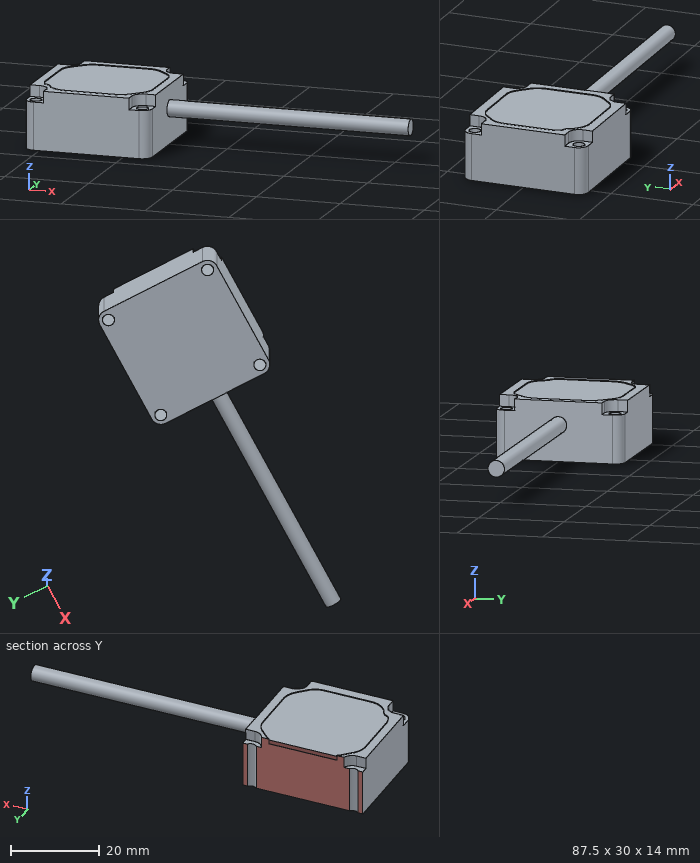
import cadquery as cq
import math

HOUSING_SIDE = 30.0
HOUSING_HEIGHT = 14.0
CORNER_RADIUS = 2.4

HOLE_SPACING = 25.4
HOLE_DIAMETER = 2.7
PAD_RADIUS = 2.5
PAD_DROP = 2.7

LID_LENGTH = 25.6
LID_WIDTH = 25.1
LID_CHAMFER = 4.9
LID_BLEND_RADIUS = 5.0
LID_THICKNESS = 1.0
LID_RECESS = 0.2

KEY_RADIUS = 2.5
KEY_DEPTH = 0.5
KEY_OFFSET = 1.1

CABLE_DIAMETER = 3.9
CABLE_LENGTH = 57.5
CABLE_HEIGHT = 8.45

POCKET_DEPTH = LID_THICKNESS + LID_RECESS
POCKET_FLOOR = HOUSING_HEIGHT - POCKET_DEPTH


def make_key(height):
    """Round key that bites KEY_DEPTH into the lid's (-X, -Y) chamfer."""
    diagonal = math.sqrt(0.5)
    chamfer_x = -(LID_LENGTH - LID_CHAMFER) / 2
    chamfer_y = -(LID_WIDTH - LID_CHAMFER) / 2
    outward = KEY_RADIUS - KEY_DEPTH
    key_x = chamfer_x - (KEY_OFFSET + outward) * diagonal
    key_y = chamfer_y + (KEY_OFFSET - outward) * diagonal
    return (
        cq.Workplane("XY", origin=(key_x, key_y, POCKET_FLOOR))
        .circle(KEY_RADIUS)
        .extrude(height)
    )


def make_lid_shape(height):
    """Keyed plate with blended chamfers, standing on the pocket floor."""
    plate = (
        cq.Workplane("XY", origin=(0, 0, POCKET_FLOOR))
        .rect(LID_LENGTH, LID_WIDTH)
        .extrude(height)
        .edges("|Z")
        .chamfer(LID_CHAMFER)
        .edges("|Z")
        .fillet(LID_BLEND_RADIUS)
    )
    return plate.cut(make_key(height))


def make_corner_cut(side_x, side_y):
    """Material removed at one corner: the space above the pad and the through hole."""
    hole_x = side_x * HOLE_SPACING / 2
    hole_y = side_y * HOLE_SPACING / 2
    clearance_side = HOUSING_SIDE - HOLE_SPACING + 2 * PAD_RADIUS
    corner_x = hole_x - side_x * PAD_RADIUS
    corner_y = hole_y - side_y * PAD_RADIUS
    pad_space = (
        cq.Workplane("XY", origin=(0, 0, HOUSING_HEIGHT - PAD_DROP))
        .center(corner_x + side_x * clearance_side / 2, corner_y + side_y * clearance_side / 2)
        .rect(clearance_side, clearance_side)
        .extrude(PAD_DROP)
        .edges("|Z")
        .fillet(PAD_RADIUS)
    )
    hole = (
        cq.Workplane("XY")
        .center(hole_x, hole_y)
        .circle(HOLE_DIAMETER / 2)
        .extrude(HOUSING_HEIGHT)
    )
    return pad_space.union(hole)


def make_housing():
    """Rounded block with four mounting corners and a pocket for the lid."""
    block = (
        cq.Workplane("XY")
        .rect(HOUSING_SIDE, HOUSING_SIDE)
        .extrude(HOUSING_HEIGHT)
        .edges("|Z")
        .fillet(CORNER_RADIUS)
    )
    for side_x in (-1, 1):
        for side_y in (-1, 1):
            block = block.cut(make_corner_cut(side_x, side_y))
    return block.cut(make_lid_shape(POCKET_DEPTH))


def make_cable():
    """Round cable running along +X, butted against the housing."""
    return (
        cq.Workplane("YZ", origin=(HOUSING_SIDE / 2, 0, CABLE_HEIGHT))
        .circle(CABLE_DIAMETER / 2)
        .extrude(CABLE_LENGTH)
    )


housing = make_housing()
lid = make_lid_shape(LID_THICKNESS)
cable = make_cable()

result = cq.Compound.makeCompound([housing.val(), lid.val(), cable.val()])